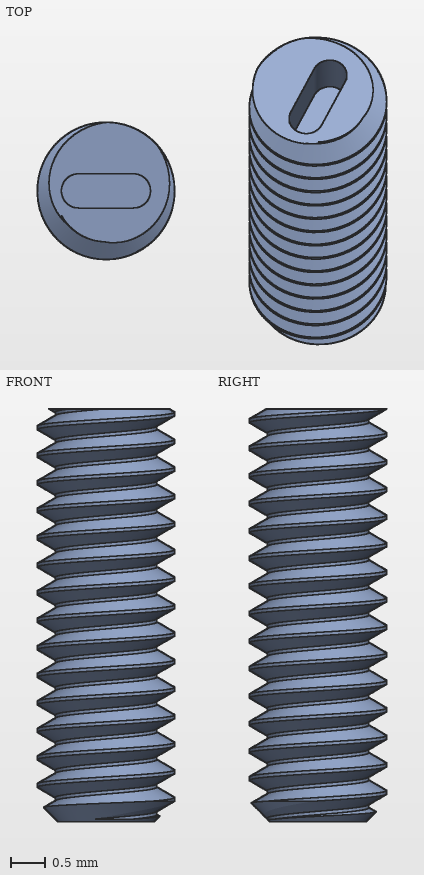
import cadquery as cq
import math

length = 6.0
major_diameter = length / 3
pitch = length / 15
point_chamfer = length / 20
flank_half_angle = math.radians(30)

slot_length = 1.295
slot_width = 0.5
slot_depth = 0.8

flat_width = pitch / 8
thread_depth = (pitch / 2 - flat_width) / math.tan(flank_half_angle)
major_radius = major_diameter / 2
minor_radius = major_radius - thread_depth

top_crest_drop = 0.07
groove_turns = 17
turns_below_top = 15.5
cutter_overshoot = 0.02


def make_blank():
    """Cylinder with a 45 degree chamfer around its lower end."""
    blank = cq.Workplane("XY").circle(major_radius).extrude(length)
    return blank.faces("<Z").chamfer(point_chamfer)


def make_groove_turn():
    """Right-handed trapezoidal groove of one turn, starting on the +X side at height zero."""
    outer_radius = major_radius + cutter_overshoot
    root_half = flat_width / 2
    mouth_half = root_half + (outer_radius - minor_radius) * math.tan(flank_half_angle)
    path = cq.Workplane(obj=cq.Wire.makeHelix(pitch, pitch, minor_radius))
    section_plane = cq.Plane(origin=(0, 0, 0), xDir=(1, 0, 0), normal=(0, 1, 0))
    profile = cq.Workplane(section_plane).polyline([
        (minor_radius, -root_half),
        (outer_radius, -mouth_half),
        (outer_radius, mouth_half),
        (minor_radius, root_half),
    ]).close()
    return profile.sweep(path, isFrenet=True)


def cut_thread(body):
    """Cut the groove turn by turn, past both ends of the screw."""
    start_height = length - top_crest_drop - turns_below_top * pitch
    turn = make_groove_turn()
    for index in range(groove_turns):
        body = body.cut(turn.translate((0, 0, start_height + index * pitch)), clean=False)
    return body


def make_slot():
    """Blind round-ended pocket along X."""
    slot = cq.Workplane("XY").workplane(offset=length - slot_depth)
    return slot.slot2D(slot_length, slot_width).extrude(slot_depth)


result = cut_thread(make_blank()).cut(make_slot())